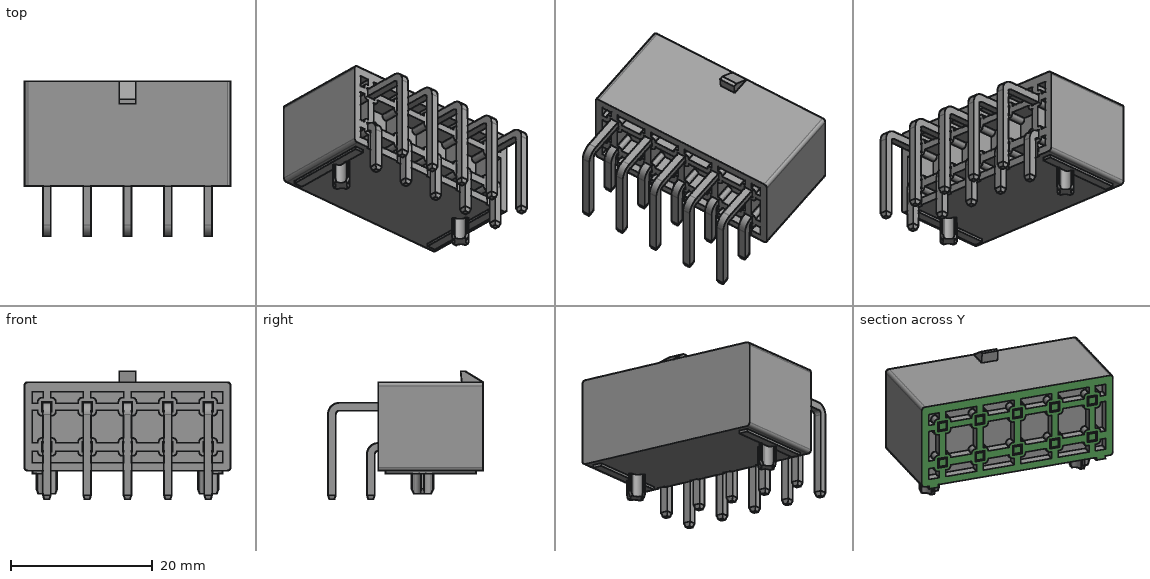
import cadquery as cq
import math


OVERALL_DEPTH = 21.94
OVERALL_HEIGHT = 18.13

BODY_WIDTH = 29.15
BODY_DEPTH = 14.82
BODY_HEIGHT = 12.53
CORNER_RADIUS = 0.5

COLUMNS = 5
COLUMN_PITCH = 5.7
ROW_PITCH = 5.68
LOWER_ROW_Z = 3.37
UPPER_ROW_Z = LOWER_ROW_Z + ROW_PITCH
ROW_Z = (LOWER_ROW_Z, UPPER_ROW_Z)
COLUMN_X = [(i - (COLUMNS - 1) / 2) * COLUMN_PITCH for i in range(COLUMNS)]

SIDE_WALL = 1.14
BOTTOM_WALL = 1.14
TOP_WALL = 1.34
RECESS_DEPTH = 2.5
COLUMN_WEB = 1.05
UPPER_ROW_WEB = 1.03
LOWER_ROW_WEB = 1.25
BOSS_SIZE = 2.55
BOSS_RADIUS = 0.6
SOCKET_SIZE = 1.4

RELIEF_TOP_Z = LOWER_ROW_Z - BOSS_SIZE / 2
RELIEF_DEPTH = 0.25

PIN_SIZE = 1.14
PIN_BEND_RADIUS = 1.65
PIN_BOTTOM_Z = -4.05
UPPER_PIN_REACH = OVERALL_DEPTH - BODY_DEPTH
LOWER_PIN_REACH = 1.62
PIN_TIP_HEIGHT = 0.62
PIN_TIP_SIZE = 0.72

LATCH_WIDTH = 2.4
LATCH_HEIGHT = OVERALL_HEIGHT - BODY_HEIGHT + PIN_BOTTOM_Z
LATCH_RAMP_LENGTH = 2.55
LATCH_TOP_LENGTH = 3.2
LATCH_BASE_LENGTH = 3.04

PAD_WIDTH = 1.4
PAD_INSET = 1.0
PAD_HEIGHT = 0.41

PEG_Y = 6.25
PEG_LENGTH = 3.27
PEG_RIB_REACH_X = 1.48
PEG_RIB_REACH_Y = 1.57
PEG_CORE_REACH = 1.2
PEG_RIB_WIDTH = 0.54
PEG_RIB_CHAMFER = 0.12
PEG_TAPER_HEIGHT = 0.7


def box(x_range, y_range, z_range):
    """Box spanning the given (low, high) ranges."""
    lows, highs = zip(x_range, y_range, z_range)
    sizes = [high - low for low, high in zip(lows, highs)]
    return cq.Workplane("XY").box(*sizes, centered=False).translate(lows)


def span(center, size):
    """(low, high) range of a given size about a center."""
    return (center - size / 2, center + size / 2)


def extrude_along_x(profile_yz, center_x, width):
    """Extrude a closed (Y, Z) wire symmetrically about X = center_x."""
    return profile_yz.extrude(width / 2, both=True).translate((center_x, 0, 0))


def make_shell():
    shell = box(span(0, BODY_WIDTH), (0, BODY_DEPTH), (0, BODY_HEIGHT))
    return shell.edges("|Y").fillet(CORNER_RADIUS)


def make_recess():
    """Volume removed from the pin-side face, leaving webs and socket bosses."""
    depth = (0, RECESS_DEPTH)
    inner_x = span(0, BODY_WIDTH - 2 * SIDE_WALL)
    inner_z = (BOTTOM_WALL, BODY_HEIGHT - TOP_WALL)
    recess = box(inner_x, depth, inner_z)
    for z, thickness in zip(ROW_Z, (LOWER_ROW_WEB, UPPER_ROW_WEB)):
        recess = recess.cut(box(inner_x, depth, span(z, thickness)))
    for x in COLUMN_X:
        recess = recess.cut(box(span(x, COLUMN_WEB), depth, inner_z))
        for z in ROW_Z:
            boss = box(span(x, BOSS_SIZE), depth, span(z, BOSS_SIZE))
            recess = recess.cut(boss.edges("|Y").fillet(BOSS_RADIUS))
    return recess


def make_socket(x, z):
    return box(span(x, SOCKET_SIZE), (0, RECESS_DEPTH), span(z, SOCKET_SIZE))


def make_relief(x):
    """Wedge that deepens toward the underside, behind a lower pin's leg."""
    profile = cq.Workplane("YZ").polyline([(0, RELIEF_TOP_Z), (RELIEF_DEPTH, 0), (0, 0)]).close()
    return extrude_along_x(profile, x, PIN_SIZE)


def make_latch():
    tip_z = BODY_HEIGHT + LATCH_HEIGHT
    profile = cq.Workplane("YZ").polyline([
        (BODY_DEPTH, BODY_HEIGHT),
        (BODY_DEPTH - LATCH_RAMP_LENGTH, tip_z),
        (BODY_DEPTH - LATCH_TOP_LENGTH, tip_z),
        (BODY_DEPTH - LATCH_BASE_LENGTH, BODY_HEIGHT),
    ]).close()
    return extrude_along_x(profile, 0, LATCH_WIDTH)


def make_pin(x, z, reach):
    """Square pin that leaves the housing, bends downward and ends in a tapered tip."""
    top = z + PIN_SIZE / 2
    under = z - PIN_SIZE / 2
    outer_y = -reach
    inner_y = outer_y + PIN_SIZE
    shoulder_z = PIN_BOTTOM_Z + PIN_TIP_HEIGHT
    inner_radius = PIN_BEND_RADIUS - PIN_SIZE
    bend_y = outer_y + PIN_BEND_RADIUS
    bend_z = top - PIN_BEND_RADIUS
    diagonal = math.sqrt(0.5)
    profile = (
        cq.Workplane("YZ")
        .moveTo(RECESS_DEPTH, top)
        .lineTo(bend_y, top)
        .threePointArc(
            (bend_y - PIN_BEND_RADIUS * diagonal, bend_z + PIN_BEND_RADIUS * diagonal),
            (outer_y, bend_z),
        )
        .lineTo(outer_y, shoulder_z)
        .lineTo(inner_y, shoulder_z)
        .lineTo(inner_y, bend_z)
        .threePointArc(
            (bend_y - inner_radius * diagonal, bend_z + inner_radius * diagonal),
            (bend_y, under),
        )
        .lineTo(RECESS_DEPTH, under)
        .close()
    )
    tip = (
        cq.Workplane("XY", origin=(x, outer_y + PIN_SIZE / 2, shoulder_z))
        .rect(PIN_SIZE, PIN_SIZE)
        .workplane(offset=-PIN_TIP_HEIGHT)
        .rect(PIN_TIP_SIZE, PIN_TIP_SIZE)
        .loft()
    )
    return extrude_along_x(profile, x, PIN_SIZE).union(tip)


def make_pad(side):
    """Standoff pad at the -X (side = -1) or +X (side = 1) end."""
    pad_x = side * (BODY_WIDTH / 2 - SIDE_WALL - PAD_WIDTH / 2)
    return box(span(pad_x, PAD_WIDTH), (PAD_INSET, BODY_DEPTH - PAD_INSET), (-PAD_HEIGHT, 0))


def make_peg(x):
    """Fluted peg whose ribs taper to the core at the lower end."""
    core = 2 * PEG_CORE_REACH
    flute_radius = PEG_CORE_REACH - PEG_RIB_WIDTH / 2
    flute_centers = [(sx * PEG_CORE_REACH, sy * PEG_CORE_REACH) for sx in (-1, 1) for sy in (-1, 1)]
    flutes = cq.Workplane("XY").pushPoints(flute_centers).circle(flute_radius).extrude(PEG_LENGTH)
    peg = cq.Workplane("XY").rect(core, core).extrude(PEG_LENGTH).cut(flutes)
    for angle, reach in ((0, PEG_RIB_REACH_X), (90, PEG_RIB_REACH_Y)):
        rib_pair = (
            cq.Workplane("XZ")
            .polyline([
                (-PEG_CORE_REACH, 0),
                (PEG_CORE_REACH, 0),
                (reach, PEG_TAPER_HEIGHT),
                (reach, PEG_LENGTH),
                (-reach, PEG_LENGTH),
                (-reach, PEG_TAPER_HEIGHT),
            ])
            .close()
            .extrude(PEG_RIB_WIDTH / 2, both=True)
        )
        rib_pair = rib_pair.edges("|Z").chamfer(PEG_RIB_CHAMFER)
        peg = peg.union(rib_pair.rotate((0, 0, 0), (0, 0, 1), angle))
    return peg.translate((x, PEG_Y, -PEG_LENGTH))


housing = make_shell().cut(make_recess()).union(make_latch())
for end in (-1, 1):
    housing = housing.union(make_pad(end))
for peg_x in (COLUMN_X[0], COLUMN_X[-1]):
    housing = housing.union(make_peg(peg_x))

clearances = cq.Workplane("XY")
pins = cq.Workplane("XY")
for column_x in COLUMN_X:
    clearances.add(make_relief(column_x))
    for row_z, pin_reach in zip(ROW_Z, (LOWER_PIN_REACH, UPPER_PIN_REACH)):
        clearances.add(make_socket(column_x, row_z))
        pins.add(make_pin(column_x, row_z, pin_reach))

result = housing.cut(clearances.combine()).union(pins.combine())